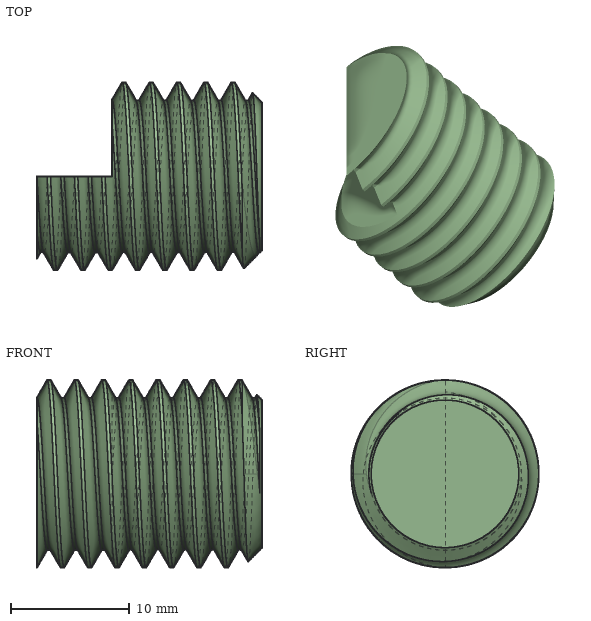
import cadquery as cq
import math

length = 19.05
major_radius = 7.95
thread_turns = 33 / 4
pitch = length / thread_turns
flank_angle = math.radians(30)
flat_width = pitch / 8
end_radius = 6.25
notch_length = length / 3

flank_width = pitch / 2 - flat_width
thread_depth = flank_width / math.tan(flank_angle)
root_radius = major_radius - thread_depth
groove_overshoot = 0.11


def make_blank():
    chamfer = major_radius - end_radius
    outline = [
        (0, 0),
        (0, -major_radius),
        (length - chamfer, -major_radius),
        (length, -end_radius),
        (length, 0),
    ]
    return cq.Workplane("XY").polyline(outline).close().revolve(360, (0, 0), (1, 0))


def make_groove():
    first_centre = (pitch - flat_width) / 2
    start = first_centre - 2 * pitch
    path_length = length - start + pitch
    root_half = flat_width / 2
    outer_radius = major_radius + groove_overshoot
    outer_half = root_half + (outer_radius - root_radius) * math.tan(flank_angle)
    profile = [
        (root_radius, root_half),
        (outer_radius, outer_half),
        (outer_radius, -outer_half),
        (root_radius, -root_half),
    ]
    helix = cq.Wire.makeHelix(pitch, path_length, root_radius)
    groove = cq.Workplane("XZ").polyline(profile).close().sweep(cq.Workplane(obj=helix), isFrenet=True)
    return groove.rotate((0, 0, 0), (0, 1, 0), 90).translate((start, 0, 0))


def make_notch():
    return cq.Workplane("XY").box(
        notch_length, major_radius, 2 * major_radius, centered=(False, False, True)
    )


result = make_blank().cut(make_groove()).cut(make_notch())